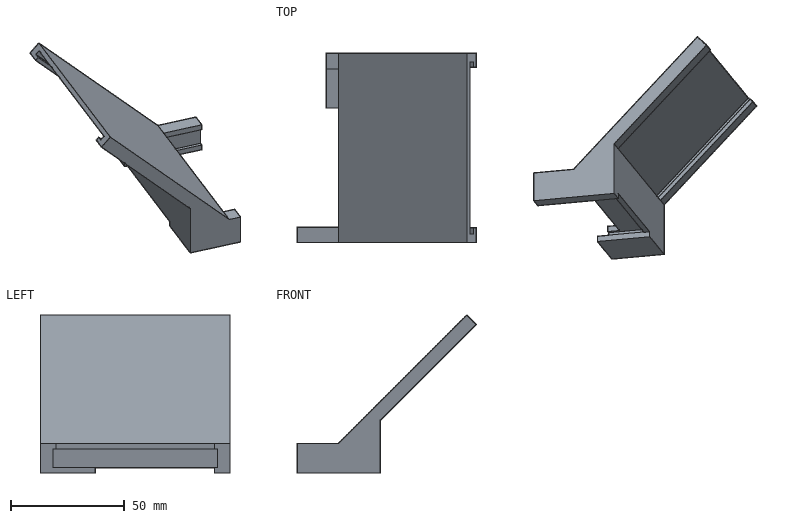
import cadquery as cq
import math

length = 78.7
width = 83.16
height = 69.38

base_height = 13.0
base_length = 36.6
short_arm_start = 12.75
plate_foot = 18.1

pocket_floor = 2.5
pocket_height = 8.0
pocket_side_wall = 5.4
arm_width = 6.9
floor_plate_width = 24.1
rear_wall = 2.6
rear_wall_bottom = 2.25

plate_angle = 45
plate_tip_x = plate_foot + height - base_height
tip_drop = length - plate_tip_x
plate_thickness = tip_drop / math.sin(math.radians(plate_angle))
plate_skin = 2.1
card_slot_thickness = 2.1
low_rail_width = 6.6
high_rail_width = 6.2
rail_side_wall = 3.9

y_low = -width / 2
y_high = width / 2


def box(x, y, z):
    """Box between the given (low, high) limits on each axis."""
    size = (x[1] - x[0], y[1] - y[0], z[1] - z[0])
    return cq.Workplane("XY").box(*size, centered=False).translate((x[0], y[0], z[0]))


def side_body():
    """Full-width solid with the side outline of base and leaning plate."""
    tip_low_z = height - tip_drop
    junction_z = tip_low_z - (length - base_length)
    outline = [
        (0, 0),
        (base_length, 0),
        (base_length, junction_z),
        (length, tip_low_z),
        (plate_tip_x, height),
        (plate_foot, base_height),
        (0, base_height),
    ]
    return cq.Workplane("XZ").polyline(outline).close().extrude(width).translate((0, y_high, 0))


def pocket_cuts():
    """Pocket in the base, with its openings to the front, top and bottom."""
    inner_low = y_low + arm_width
    inner_high = y_high - arm_width
    pocket = box(
        (0, base_length - rear_wall),
        (y_low + pocket_side_wall, y_high - pocket_side_wall),
        (pocket_floor, pocket_floor + pocket_height),
    )
    top_opening = box((0, plate_foot), (inner_low, inner_high), (pocket_floor, base_height))
    floor_edge = y_high - floor_plate_width
    floor_opening = box((0, base_length - rear_wall), (inner_low, floor_edge), (0, pocket_floor))
    under_rear_wall = box((0, base_length), (inner_low, floor_edge), (0, rear_wall_bottom))
    short_arm_front = box((0, short_arm_start), (inner_low, y_high), (0, base_height))
    return pocket.union(top_opening).union(floor_opening).union(under_rear_wall).union(short_arm_front)


def card_slot_cuts():
    """T-shaped card slot under the leaning plate, open at the tip and between the rails."""
    slot_length = (length - base_length) / math.cos(math.radians(plate_angle))
    slot = box(
        (-slot_length, 0),
        (y_low + rail_side_wall, y_high - rail_side_wall),
        (-plate_skin - card_slot_thickness, -plate_skin),
    )
    opening = box(
        (-slot_length, 0),
        (y_low + low_rail_width, y_high - high_rail_width),
        (-plate_thickness, -plate_skin),
    )
    return (
        slot.union(opening)
        .rotate((0, 0, 0), (0, 1, 0), -plate_angle)
        .translate((plate_tip_x, 0, height))
    )


result = side_body().cut(pocket_cuts()).cut(card_slot_cuts())